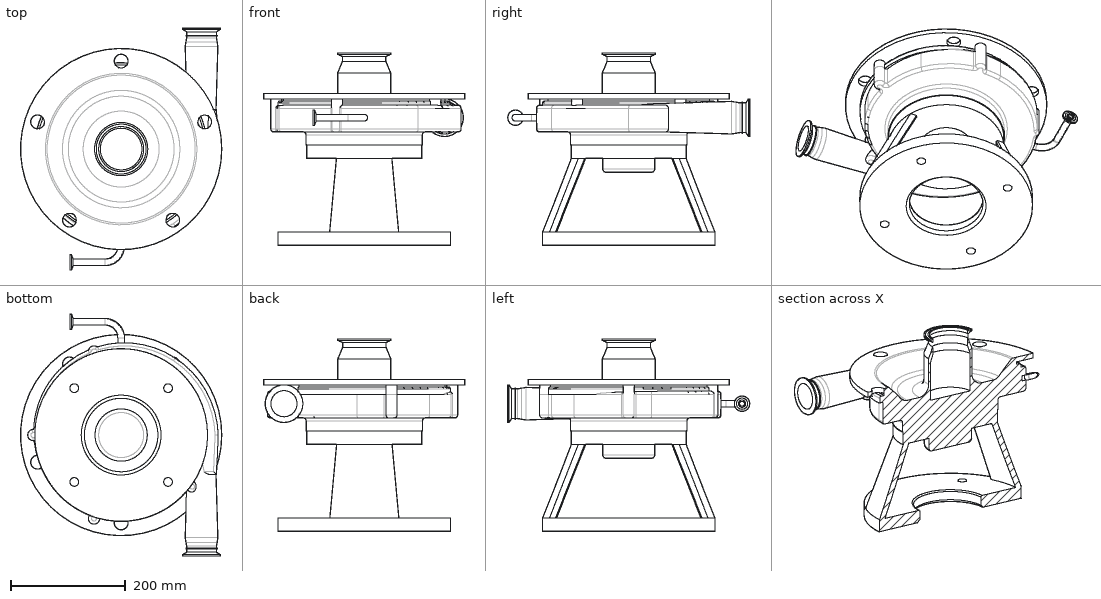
import cadquery as cq
import math

base_radius = 150.0
base_thickness = 23.0
base_bore_radius = 64.0
base_bore_chamfer = 2.5
base_bore_lower_chamfer = 5.5
base_hole_radius = 7.5
base_hole_circle_radius = 115.3
base_hole_count = 4
first_base_hole_angle = 45

drum_radius = 100.0
drum_bottom = 151.0
shoulder_radius = 101.5
shoulder_bottom = 174.5
shoulder_fillet = 5.0
plug_radius = 45.5
plug_bottom = 126.5
plug_fillet = 6.5

leg_thickness = 12.5
leg_half_width_bottom = 60.0
leg_half_width_top = 48.5
leg_chamfer = 3.5

axis_height = 221.5
casing_bottom = 197.0
casing_height = 46.5
casing_top = casing_bottom + casing_height
casing_edge_fillet = 5.5
spiral_end_radius = 168.5
spiral_growth = 33.5
tongue_angle = 30
spiral_arcs = 6
cover_ring_radius = 149.8
cover_ring_top = 250.7
cover_ring_fillet = 3.5
neck_radius = 140.5

plate_radius = 175.0
plate_bottom = 254.0
plate_top = 263.8
dish_slope = 45
dish_depth = 32.0
dish_rim_radius = 131.5
dish_rim_fillet = 4.0
dish_corner_fillet = 14.5
bolt_count = 5
bolt_hole_radius = 11.8
bolt_circle_radius = 152.7
first_hole_angle = 90
boss_radius = 9.5
first_boss_angle = 180
boss_blend = 3.0
match_tolerance = 0.05

inlet_radius = 46.3
inlet_neck_radius = 38.0
inlet_bore_radius = 36.0
inlet_inner_radius = 41.5
inlet_top = 334.5
inlet_root_fillet = 19.8
reducer_bottom = 299.5
reducer_top = 319.7
bore_reducer_bottom = 290.5
bore_reducer_top = 306.0
inlet_rim_thickness = 2.5
inlet_rim_taper = 4.0
inlet_groove_centre_radius = 41.2
inlet_groove_radius = 2.0

outlet_x = 139.5
outlet_end = 210.5
outlet_flange_radius = 33.0
outlet_neck_radius = 26.0
outlet_bead_radius = 27.5
outlet_wide_radius = 28.5
outlet_wide_y = 178.5
outlet_bore_radius = 22.7
outlet_bore_end_y = 69.0
outlet_rim_thickness = 2.5
outlet_rim_taper = 4.0
bead_y = 197.7
bead_width = 1.3
sleeve_y = 193.0
sleeve_end_y = 186.5

drain_radius = 6.0
drain_bore_radius = 4.0
drain_y = -197.0
drain_start_y = -151.5
drain_bend_radius = 28.0
drain_end_x = -89.0
drain_flange_radius = 13.5
drain_flange_thickness = 3.0
drain_flange_taper = 3.0
drain_groove_centre_radius = 8.0
drain_groove_radius = 1.5


def disc(radius, bottom, top):
    return cq.Workplane("XY").workplane(offset=bottom).circle(radius).extrude(top - bottom)


def revolve_about_z(points):
    return cq.Workplane("XZ").polyline(points).close().revolve(360, (0, 0), (0, 1))


def polar(radius, degrees):
    return (radius * math.cos(math.radians(degrees)), radius * math.sin(math.radians(degrees)))


def boss_points():
    step = 360 / bolt_count
    return [polar(bolt_circle_radius, first_boss_angle + i * step) for i in range(bolt_count)]


def make_base():
    base = disc(base_radius, 0, base_thickness)
    base = base.faces(">Z").workplane().hole(2 * base_bore_radius)
    bore_rim = cq.selectors.RadiusNthSelector(0)
    base = base.faces(">Z").edges(bore_rim).chamfer(base_bore_chamfer)
    base = base.faces("<Z").edges(bore_rim).chamfer(base_bore_lower_chamfer)
    holes = (
        cq.Workplane("XY")
        .polarArray(base_hole_circle_radius, first_base_hole_angle, 360, base_hole_count)
        .circle(base_hole_radius)
        .extrude(base_thickness)
    )
    return base.cut(holes)


def make_legs():
    shell = revolve_about_z([
        (base_radius, base_thickness),
        (drum_radius, drum_bottom),
        (drum_radius - leg_thickness, drum_bottom),
        (base_radius - leg_thickness, base_thickness),
    ])
    trapezoid = (
        cq.Workplane("XZ")
        .polyline([
            (-leg_half_width_bottom, base_thickness),
            (leg_half_width_bottom, base_thickness),
            (leg_half_width_top, drum_bottom),
            (-leg_half_width_top, drum_bottom),
        ])
        .close()
        .extrude(base_radius, both=True)
    )
    legs = shell.intersect(trapezoid)
    mid_height = (base_thickness + drum_bottom) / 2
    mid_inner_radius = (base_radius + drum_radius) / 2 - leg_thickness / 2
    inner_corners = legs.edges().filter(
        lambda edge: abs(edge.Center().z - mid_height) < base_thickness
        and math.hypot(edge.Center().x, edge.Center().y) < mid_inner_radius
    )
    return legs.newObject(inner_corners.vals()).chamfer(leg_chamfer)


def make_drum():
    drum = disc(drum_radius, drum_bottom, casing_bottom)
    shoulder = disc(shoulder_radius, shoulder_bottom, casing_bottom)
    flare = (
        cq.Workplane("XZ")
        .moveTo(shoulder_radius, casing_bottom - shoulder_fillet)
        .radiusArc((shoulder_radius + shoulder_fillet, casing_bottom), shoulder_fillet)
        .lineTo(0, casing_bottom)
        .lineTo(0, casing_bottom - shoulder_fillet)
        .close()
        .revolve(360, (0, 0), (0, 1))
    )
    plug = disc(plug_radius, plug_bottom, drum_bottom).faces("<Z").edges().fillet(plug_fillet)
    return drum.union(shoulder).union(flare).union(plug)


def spiral_point(degrees):
    return polar(spiral_end_radius - spiral_growth * (1 - degrees / 360), degrees)


def make_bosses(top):
    return (
        cq.Workplane("XY")
        .workplane(offset=casing_bottom)
        .pushPoints(boss_points())
        .circle(boss_radius)
        .extrude(top - casing_bottom)
    )


def is_boss_corner(edge):
    """True for the upright edges where a boss meets the spiral wall."""
    spot = edge.Center()
    gaps = [math.hypot(spot.x - x, spot.y - y) for x, y in boss_points()]
    return math.isclose(min(gaps), boss_radius, abs_tol=match_tolerance)


def make_casing():
    tongue = spiral_point(tongue_angle)
    step = (360 - tongue_angle) / spiral_arcs
    outline = cq.Workplane("XY").workplane(offset=casing_bottom).moveTo(*tongue)
    outline = outline.threePointArc(spiral_point(tongue_angle + step / 2), spiral_point(tongue_angle + step))
    for i in range(1, spiral_arcs):
        outline = outline.tangentArcPoint(spiral_point(tongue_angle + (i + 1) * step), relative=False)
    casing = (
        outline
        .lineTo(outlet_x + outlet_neck_radius, tongue[1])
        .close()
        .extrude(casing_height)
    )
    casing = casing.union(make_bosses(casing_top))
    corners = casing.edges("|Z").filter(is_boss_corner)
    casing = casing.newObject(corners.vals()).fillet(boss_blend)
    casing = casing.faces("<Z or >Z").edges().fillet(casing_edge_fillet)
    ring = disc(cover_ring_radius, casing_top - casing_edge_fillet, cover_ring_top)
    ring = ring.faces(">Z").edges().fillet(cover_ring_fillet)
    neck = disc(neck_radius, cover_ring_top, plate_bottom)
    bosses = make_bosses(plate_bottom).cut(disc(plate_radius, 0, casing_bottom + casing_edge_fillet))
    return casing.union(ring).union(neck).union(bosses)


def make_plate():
    plate = disc(plate_radius, plate_bottom, plate_top)
    holes = (
        cq.Workplane("XY")
        .workplane(offset=plate_bottom)
        .polarArray(bolt_circle_radius, first_hole_angle, 360, bolt_count)
        .circle(bolt_hole_radius)
        .extrude(plate_top - plate_bottom)
    )
    return plate.cut(holes)


def make_dish_cutter():
    """Conical dish with a rounded rim and a rounded corner at its floor."""
    slope = math.radians(dish_slope)
    floor = plate_top - dish_depth

    def rim_point(angle):
        return (
            dish_rim_radius - dish_rim_fillet * math.sin(angle),
            plate_top - dish_rim_fillet * (1 - math.cos(angle)),
        )

    cone_top = rim_point(slope)
    corner_rise = dish_corner_fillet * (1 - math.cos(slope))
    cone_run = (cone_top[1] - floor - corner_rise) / math.tan(slope)
    floor_radius = cone_top[0] - cone_run - dish_corner_fillet * math.sin(slope)

    def corner_point(angle):
        return (
            floor_radius + dish_corner_fillet * math.sin(angle),
            floor + dish_corner_fillet * (1 - math.cos(angle)),
        )

    return (
        cq.Workplane("XZ")
        .moveTo(0, plate_top)
        .lineTo(dish_rim_radius, plate_top)
        .threePointArc(rim_point(slope / 2), cone_top)
        .lineTo(*corner_point(slope))
        .threePointArc(corner_point(slope / 2), corner_point(0))
        .lineTo(0, floor)
        .close()
        .revolve(360, (0, 0), (0, 1))
    )


def make_inlet():
    floor = plate_top - dish_depth
    root_radius = inlet_radius + inlet_root_fillet
    arc_offset = inlet_root_fillet * math.sqrt(0.5)
    return (
        cq.Workplane("XZ")
        .moveTo(0, axis_height)
        .lineTo(root_radius, axis_height)
        .lineTo(root_radius, floor)
        .threePointArc(
            (root_radius - arc_offset, floor + inlet_root_fillet - arc_offset),
            (inlet_radius, floor + inlet_root_fillet),
        )
        .lineTo(inlet_radius, reducer_bottom)
        .lineTo(inlet_neck_radius, reducer_top)
        .lineTo(inlet_neck_radius, inlet_top - inlet_rim_thickness - inlet_rim_taper)
        .lineTo(inlet_radius, inlet_top - inlet_rim_thickness)
        .lineTo(inlet_radius, inlet_top)
        .lineTo(0, inlet_top)
        .close()
        .revolve(360, (0, 0), (0, 1))
    )


def make_inlet_bore():
    return revolve_about_z([
        (0, axis_height),
        (inlet_inner_radius, axis_height),
        (inlet_inner_radius, bore_reducer_bottom),
        (inlet_bore_radius, bore_reducer_top),
        (inlet_bore_radius, inlet_top),
        (0, inlet_top),
    ])


def seal_groove(centre_radius, groove_radius):
    """Ring of round section about Z, cutting a half-round groove into a flange face at Z = 0."""
    section = cq.Workplane("XZ").center(centre_radius, 0).circle(groove_radius)
    return section.revolve(360, (-centre_radius, 0), (-centre_radius, 1))


def make_seal_grooves():
    inlet_groove = seal_groove(inlet_groove_centre_radius, inlet_groove_radius)
    drain_groove = seal_groove(drain_groove_centre_radius, drain_groove_radius)
    drain_groove = drain_groove.rotate((0, 0, 0), (0, 1, 0), 90)
    return (
        inlet_groove.translate((0, 0, inlet_top))
        .union(drain_groove.translate((drain_end_x, drain_y, axis_height)))
    )


def make_outlet():
    profile = [
        (0, 0),
        (casing_height / 2, 0),
        (outlet_wide_radius, outlet_wide_y),
        (outlet_bead_radius, sleeve_end_y),
        (outlet_neck_radius, sleeve_y),
        (outlet_neck_radius, bead_y - bead_width),
        (outlet_bead_radius, bead_y - bead_width),
        (outlet_bead_radius, bead_y),
        (outlet_neck_radius, bead_y),
        (outlet_neck_radius, outlet_end - outlet_rim_thickness - outlet_rim_taper),
        (outlet_flange_radius, outlet_end - outlet_rim_thickness),
        (outlet_flange_radius, outlet_end),
        (0, outlet_end),
    ]
    pipe = cq.Workplane("XY").polyline(profile).close().revolve(360, (0, 0), (0, 1))
    return pipe.translate((outlet_x, 0, axis_height))


def make_outlet_bore():
    face = cq.Workplane("XZ", origin=(outlet_x, outlet_end, axis_height))
    return face.circle(outlet_bore_radius).extrude(outlet_end - outlet_bore_end_y)


def drain_sweep(radius):
    """Round bar from the casing wall, round the bend and out to the drain flange."""
    bend_offset = drain_bend_radius * (1 - math.sqrt(0.5))
    path = (
        cq.Workplane("XY")
        .workplane(offset=axis_height)
        .moveTo(0, drain_start_y)
        .lineTo(0, drain_y + drain_bend_radius)
        .threePointArc((-bend_offset, drain_y + bend_offset), (-drain_bend_radius, drain_y))
        .lineTo(drain_end_x, drain_y)
    )
    start = cq.Workplane("XZ", origin=(0, drain_start_y, axis_height))
    return start.circle(radius).sweep(path)


def make_drain():
    taper_end = drain_flange_thickness + drain_flange_taper
    flange = (
        cq.Workplane("XY")
        .polyline([
            (0, 0),
            (0, drain_flange_radius),
            (drain_flange_thickness, drain_flange_radius),
            (taper_end, drain_radius),
            (taper_end, 0),
        ])
        .close()
        .revolve(360, (0, 0), (1, 0))
        .translate((drain_end_x, drain_y, axis_height))
    )
    return drain_sweep(drain_radius).union(flange)


stand = make_base().union(make_legs()).union(make_drum())
pump = make_casing().union(make_plate()).union(make_outlet()).union(make_drain())
pump = pump.cut(make_dish_cutter()).union(make_inlet())
pump = pump.cut(make_inlet_bore()).cut(make_outlet_bore())
pump = pump.cut(drain_sweep(drain_bore_radius)).cut(make_seal_grooves())
result = stand.union(pump)